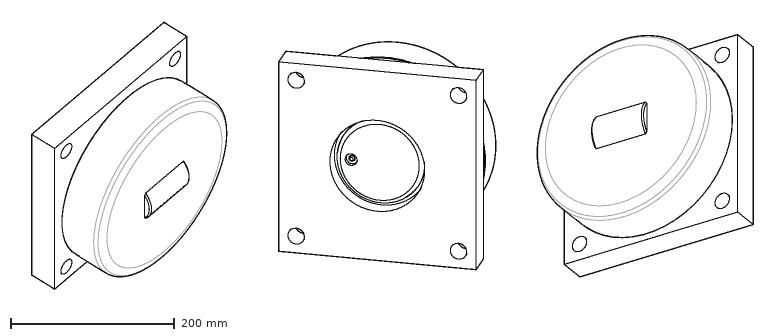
import cadquery as cq
import math


plate_side = 250
plate_thickness = 37.0
bolt_offset = 102.8
bolt_hole_diameter = 20.8
center_bore_diameter = 120
center_bore_depth = 22.0

stub_diameter = 111.0
stub_chamfer = 5.5
stub_recess = 12.0

neck_diameter = 168.0

roller_start = 47.5
roller_end = 107.5
crown_diameter = 250
tread_edge_diameter = 249.2
roller_back_chamfer = 1.0
front_face_diameter = 217.5
front_taper_start = 103.0
front_corner_radius = 4.5

overall_length = 117.0
pin_radius = 31.2
pin_length = 75
pin_chamfer = 2.0

nipple_offset = 36.2
nipple_recess_diameter = 15
nipple_recess_depth = 5.5
hex_across_flats = 7.0
hex_height = 1.0
cone_base_diameter = 6.8
cone_tip_diameter = 4.5
cone_height = 3.0


def cylinder_x(diameter, start, end, y=0):
    """Cylinder along X between two X positions, shifted sideways by y."""
    return cq.Workplane("YZ", origin=(start, y, 0)).circle(diameter / 2).extrude(end - start)


def make_plate():
    plate = cq.Workplane("YZ").rect(plate_side, plate_side).extrude(plate_thickness)
    bolt_holes = (
        cq.Workplane("YZ")
        .rect(2 * bolt_offset, 2 * bolt_offset, forConstruction=True)
        .vertices()
        .circle(bolt_hole_diameter / 2)
        .extrude(plate_thickness)
    )
    center_bore = cylinder_x(center_bore_diameter, 0, center_bore_depth)
    return plate.cut(bolt_holes).cut(center_bore)


def make_stub():
    stub = cylinder_x(stub_diameter, stub_recess, center_bore_depth)
    return stub.faces("<X").chamfer(stub_chamfer)


def make_roller():
    tread_start = roller_start + roller_back_chamfer
    tread_edge_radius = tread_edge_diameter / 2
    tread_middle = (tread_start + front_taper_start) / 2
    roller = (
        cq.Workplane("XY")
        .moveTo(roller_start, 0)
        .lineTo(roller_start, tread_edge_radius - roller_back_chamfer)
        .lineTo(tread_start, tread_edge_radius)
        .threePointArc((tread_middle, crown_diameter / 2), (front_taper_start, tread_edge_radius))
        .lineTo(roller_end, front_face_diameter / 2)
        .lineTo(roller_end, 0)
        .close()
        .revolve(360, (0, 0, 0), (1, 0, 0))
    )
    pick_margin = 0.2
    taper_corner = cq.selectors.BoxSelector(
        (front_taper_start - pick_margin, -plate_side, -plate_side),
        (front_taper_start + pick_margin, plate_side, plate_side),
    )
    return roller.edges(taper_corner).fillet(front_corner_radius)


def make_pin():
    pin_center_x = overall_length - pin_radius
    pin = (
        cq.Workplane("XZ", origin=(pin_center_x, pin_length / 2, 0))
        .circle(pin_radius)
        .extrude(pin_length)
    )
    return pin.faces("<Y or >Y").chamfer(pin_chamfer)


def make_nipple(recess_floor):
    hexagon = (
        cq.Workplane("YZ", origin=(recess_floor, nipple_offset, 0))
        .transformed(rotate=(0, 0, 90))
        .polygon(6, hex_across_flats / math.cos(math.pi / 6))
        .extrude(-hex_height)
    )
    cone = (
        cq.Workplane("YZ", origin=(recess_floor - hex_height, nipple_offset, 0))
        .circle(cone_base_diameter / 2)
        .workplane(offset=-cone_height)
        .circle(cone_tip_diameter / 2)
        .loft()
    )
    return hexagon.union(cone)


neck = cylinder_x(neck_diameter, plate_thickness, roller_start)
nipple_recess_floor = stub_recess + nipple_recess_depth
nipple_recess = cylinder_x(nipple_recess_diameter, stub_recess, nipple_recess_floor, nipple_offset)

result = (
    make_plate()
    .union(make_stub())
    .union(neck)
    .union(make_roller())
    .union(make_pin())
    .cut(nipple_recess)
    .union(make_nipple(nipple_recess_floor))
)